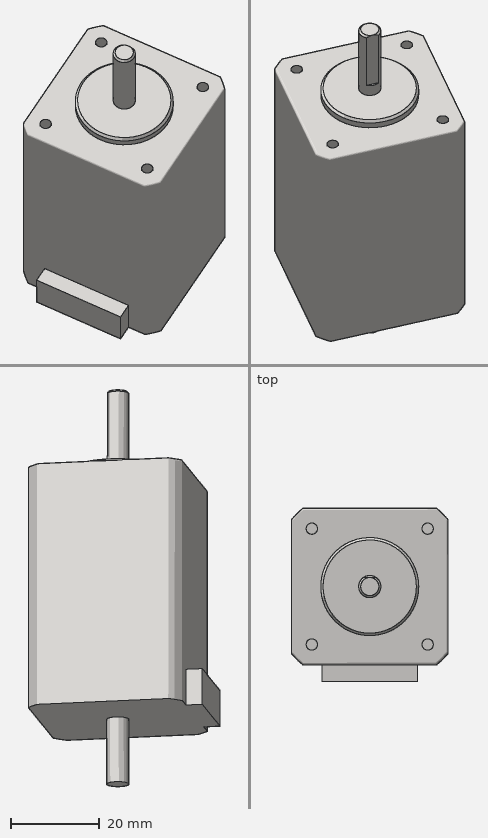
import cadquery as cq
import math

body_width = 35.3
body_height = 55.8
corner_setback = 2.6
edge_radius = 0.5

pilot_diameter = 22.0
pilot_height = 2.0
pilot_chamfer = 0.5

overall_length = 90.7
shaft_diameter = 5.0
rear_shaft_length = 15.0
shaft_chamfer = 0.45
flat_length = 15.0
flat_depth = 0.45

hole_diameter = 2.5
hole_spacing = 26.0
hole_depth = 4.5

connector_width = 21.5
connector_height = 8.25
connector_reach = 3.7

half_width = body_width / 2


def make_body():
    corner_radius = math.hypot(half_width, half_width - corner_setback)
    square = cq.Workplane("XY").rect(body_width, body_width).extrude(body_height)
    turned = cq.Workplane("XY").circle(corner_radius).extrude(body_height)
    body = square.intersect(turned)
    body = body.edges("|Z").fillet(edge_radius)
    return body.faces(">Z").edges().fillet(edge_radius)


def make_pilot():
    base = cq.Workplane("XY").workplane(offset=body_height)
    pilot = base.circle(pilot_diameter / 2).extrude(pilot_height)
    return pilot.faces(">Z").chamfer(pilot_chamfer)


def make_shaft():
    shaft = (
        cq.Workplane("XY")
        .workplane(offset=-rear_shaft_length)
        .circle(shaft_diameter / 2)
        .extrude(overall_length)
        .faces(">Z")
        .chamfer(shaft_chamfer)
    )
    shaft_top = overall_length - rear_shaft_length
    flat_cutter = (
        cq.Workplane("XY")
        .box(shaft_diameter, shaft_diameter, flat_length, centered=(True, False, False))
        .translate((0, shaft_diameter / 2 - flat_depth, shaft_top - flat_length))
    )
    return shaft.cut(flat_cutter)


def make_connector():
    return (
        cq.Workplane("XY")
        .box(connector_width, half_width + connector_reach, connector_height, centered=(True, False, False))
        .translate((0, -half_width - connector_reach, 0))
    )


def make_mounting_holes():
    return (
        cq.Workplane("XY")
        .workplane(offset=body_height - hole_depth)
        .rect(hole_spacing, hole_spacing, forConstruction=True)
        .vertices()
        .circle(hole_diameter / 2)
        .extrude(hole_depth)
    )


result = (
    make_body()
    .cut(make_mounting_holes())
    .union(make_connector())
    .union(make_pilot())
    .union(make_shaft())
)